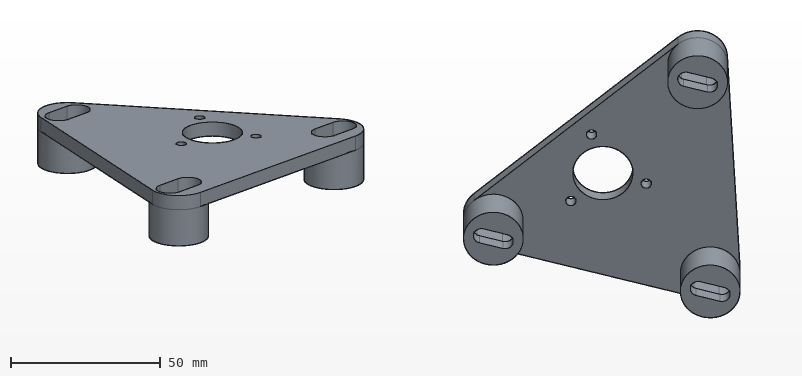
import cadquery as cq

overall = 95.0
height = 18.0
plate_thickness = 5.0
leg_diameter = 19.95
leg_radius = leg_diameter / 2
leg_reach = overall / 2 - leg_radius

slot_length = 13.6
slot_width = 5.4
recess_length = 17.8
recess_width = 9.0
recess_floor = 5.0

bore_diameter = 20.0
bore_x = 10.5
bore_y = 7.0
mount_hole_diameter = 3.4
mount_circle_radius = 15.0
mount_hole_count = 3
first_mount_angle = 270

left_leg_y = -12.5
leg_centers = [
    (-leg_reach, left_leg_y),
    (leg_reach, -leg_reach),
    (leg_reach, leg_reach),
]


def make_plate():
    """Triangular plate whose corners are rounded about the leg axes."""
    core = cq.Workplane("XY").polyline(leg_centers).close()
    outline = core.offset2D(leg_radius, "arc")
    return outline.extrude(plate_thickness).translate((0, 0, height - plate_thickness))


def make_legs():
    """Round legs reaching up to the underside of the plate."""
    return cq.Workplane("XY").pushPoints(leg_centers).circle(leg_radius).extrude(height - plate_thickness)


def make_slots(length, width, bottom):
    """Slots along Y at every leg, open at the top and cut down to bottom."""
    slots = cq.Workplane("XY").workplane(offset=bottom).pushPoints(leg_centers)
    return slots.slot2D(length, width, 90).extrude(height - bottom)


def make_bore():
    bore = cq.Workplane("XY").center(bore_x, bore_y)
    return bore.circle(bore_diameter / 2).extrude(height)


def make_mount_holes():
    """Three equally spaced holes around the bore, the first one at the front."""
    holes = cq.Workplane("XY").center(bore_x, bore_y)
    holes = holes.polarArray(mount_circle_radius, first_mount_angle, 360, mount_hole_count)
    return holes.circle(mount_hole_diameter / 2).extrude(height)


result = make_plate().union(make_legs())
result = result.cut(make_slots(slot_length, slot_width, 0))
result = result.cut(make_slots(recess_length, recess_width, recess_floor))
result = result.cut(make_bore()).cut(make_mount_holes())